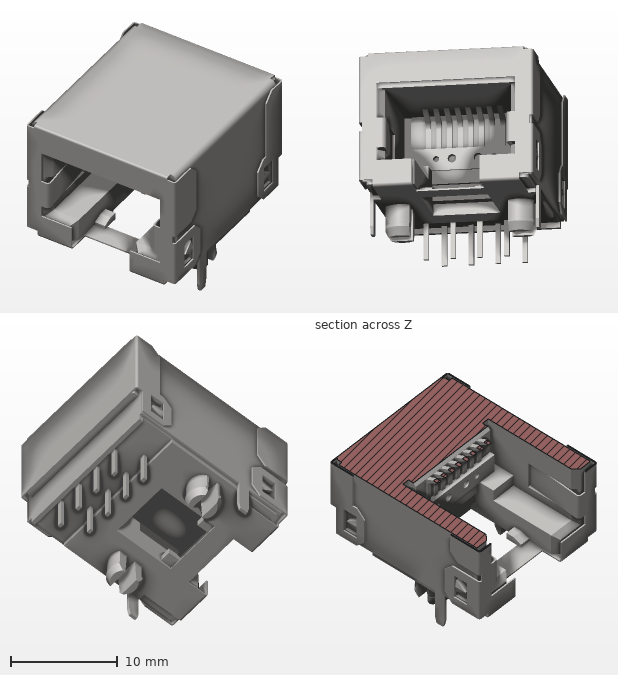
import cadquery as cq
import math


WIDTH = 16.6
LENGTH = 18.8
HEIGHT = 16.3
HALF_WIDTH = WIDTH / 2

SHEET = 0.15
BEND = 0.25
SHIELD_BOTTOM = 4.02
FLAP_TOP = 15.98
TOP_PLATE_HALF = 7.39
NOTCH_BOTTOM = 8.76
NOTCH_TOP = 9.6
NOTCH_X = 7.97
FLAP_CHAMFER = 0.95
BACK_PLATE_BOTTOM = 7.33

SIDE_X = 8.03
SIDE_SHEET = 0.3
ROLL_RADIUS = 0.64
BODY_FRONT = 0.62
BODY_BACK = 17.97
HOUSING_X = SIDE_X - SIDE_SHEET
HOUSING_CORNER = 0.41
FLOOR_Z = 3.33

FRONT_WINDOW = 1.6
BACK_WINDOW = 15.43
WINDOW_LENGTH = 1.62
FRONT_BARB_BASE = 3.12
BACK_BARB_BASE = BACK_WINDOW

OPENING_X = 6.6
OPENING_BOTTOM = 5.88
OPENING_TOP = 13.37
CAVITY_X = 6.0
CAVITY_BOTTOM = 6.11
CAVITY_TOP = 13.0
LEAD_IN = 0.62
LEDGE_Z = 7.4
FLOOR_BACK = 8.46
CAVITY_BACK = 11.65

SPRING_BOTTOM = 7.1
SPRING_TOP = 10.0
SPRING_LENGTH = 6.58

SLOT_X = 3.18

CONTACTS = 8
CONTACT_PITCH = 1.02
CONTACT_WIDTH = 0.47
PIN_PITCH = 1.28
PIN_WIDTH = 0.49
PIN_DEPTH = 0.34
PIN_ROWS = (14.6, 17.13)


def span(x0, x1, y0, y1, z0, z1):
    """Box given by its limits along X, Y and Z."""
    return cq.Workplane("XY").box(x1 - x0, y1 - y0, z1 - z0, centered=False).translate((x0, y0, z0))


def side_plate(points, x0, x1):
    """Side outline of (y, z) points, extruded from x0 to x1."""
    return cq.Workplane("YZ").polyline(points).close().extrude(x1 - x0).translate((x0, 0, 0))


def both_sides(shape):
    """The shape together with its mirror image across the YZ plane."""
    return shape.union(shape.mirror("YZ"))


def spread(count, pitch):
    """Positions of a centred row."""
    return [(i - (count - 1) / 2) * pitch for i in range(count)]


def make_body():
    shell = span(-SIDE_X, SIDE_X, BODY_FRONT, BODY_BACK, SHIELD_BOTTOM, HEIGHT)
    shell = shell.edges("|Y and >Z").fillet(ROLL_RADIUS)

    front_floor_z = 3.72
    rear_floor_z = 3.85
    front_floor_end = 4.65
    mid_floor_end = 13.93
    foot_start = 17.52
    underside = side_plate(
        [
            (BODY_FRONT, SHIELD_BOTTOM),
            (BODY_FRONT, front_floor_z),
            (front_floor_end, front_floor_z),
            (front_floor_end, FLOOR_Z),
            (mid_floor_end, FLOOR_Z),
            (mid_floor_end, rear_floor_z),
            (foot_start, rear_floor_z),
            (foot_start, FLOOR_Z),
            (BODY_BACK, FLOOR_Z),
            (BODY_BACK, SHIELD_BOTTOM),
        ],
        -HOUSING_X,
        HOUSING_X,
    )
    underside = underside.edges("|Z and <Y").fillet(HOUSING_CORNER)

    rear_half = 7.6
    rear_corner = 0.28
    rear = span(-rear_half, rear_half, BODY_BACK, LENGTH - SHEET, BACK_PLATE_BOTTOM, FLAP_TOP)
    rear = rear.edges("|Z and >Y").fillet(rear_corner)
    return shell.union(underside).union(rear)


def lead_in_cut(half_width, bottom, top, chamfered_bottom):
    """Cutter that narrows at 45 degrees from the front of the body to the given opening."""
    drop = LEAD_IN if chamfered_bottom else 0
    wide = half_width + LEAD_IN
    plan = [(-wide, BODY_FRONT), (wide, BODY_FRONT)]
    plan += [(half_width, BODY_FRONT + LEAD_IN), (-half_width, BODY_FRONT + LEAD_IN)]
    cut = cq.Workplane("XY", origin=(0, 0, bottom - drop)).polyline(plan).close()
    cut = cut.extrude(top - bottom + drop)
    if chamfered_bottom:
        side = [(BODY_FRONT, top), (BODY_FRONT, bottom - drop)]
        side += [(BODY_FRONT + LEAD_IN, bottom), (BODY_FRONT + LEAD_IN, top)]
        cut = cut.intersect(side_plate(side, -wide, wide))
    return cut


def cut_plug_cavity(body):
    body = body.cut(span(-CAVITY_X, CAVITY_X, BODY_FRONT, CAVITY_BACK, LEDGE_Z, CAVITY_TOP))
    body = body.cut(span(-CAVITY_X, CAVITY_X, BODY_FRONT, FLOOR_BACK, CAVITY_BOTTOM, LEDGE_Z))
    return body.cut(lead_in_cut(CAVITY_X, CAVITY_BOTTOM, CAVITY_TOP, True))


def cut_spring_pockets(body):
    """Side recesses of the cavity that take the grounding springs."""
    clearance = 0.05
    end = SPRING_LENGTH + clearance
    pocket = span(CAVITY_X, OPENING_X, BODY_FRONT, end, SPRING_BOTTOM - clearance, SPRING_TOP + clearance)
    return body.cut(both_sides(pocket))


def cut_latch_slot(body):
    top_back = 10.34
    middle_back = 10.72
    lower_back = 11.28
    lip_top = 4.59
    lip_bottom = 4.44
    outline = [
        (BODY_FRONT, 0),
        (BODY_FRONT, LEDGE_Z),
        (top_back, LEDGE_Z),
        (top_back, CAVITY_BOTTOM),
        (middle_back, CAVITY_BOTTOM),
        (middle_back, lip_top),
        (lower_back, lip_bottom),
        (lower_back, 0),
    ]
    body = body.cut(side_plate(outline, -SLOT_X, SLOT_X))
    return body.cut(lead_in_cut(SLOT_X, 0, CAVITY_BOTTOM, False))


def make_latch_bumps():
    inner_x = 2.05
    bottom = 3.67
    nose_z = 4.02
    top = 4.4
    nose_y = 4.0
    crest_y = 5.0
    back_y = 5.83
    outline = [(nose_y, bottom), (nose_y, nose_z), (crest_y, top), (back_y, top), (back_y, bottom)]
    return both_sides(side_plate(outline, inner_x, SLOT_X))


def make_insert():
    half = 5.25
    step_z = 9.51
    shoulder_z = 12.3
    lower_front = 10.15
    upper_front = 10.72
    slope_run = 0.65
    insert = side_plate(
        [
            (lower_front, LEDGE_Z),
            (lower_front, step_z),
            (upper_front, step_z),
            (upper_front, shoulder_z),
            (upper_front + slope_run, CAVITY_TOP),
            (CAVITY_BACK, CAVITY_TOP),
            (CAVITY_BACK, LEDGE_Z),
        ],
        -half,
        half,
    )

    hole_z = 8.52
    hole_depth = 0.56
    inner_hole_x = 1.25
    inner_hole_radius = 0.4
    outer_hole_x = 2.75
    outer_hole_radius = 0.28
    for x, radius in ((inner_hole_x, inner_hole_radius), (outer_hole_x, outer_hole_radius)):
        hole = cq.Workplane("XZ").pushPoints([(-x, hole_z), (x, hole_z)]).circle(radius)
        insert = insert.cut(hole.extrude(-hole_depth).translate((0, lower_front, 0)))

    knee_z = 11.88
    contact_front = upper_front - 0.19
    reach = 1.88
    knee_radius = 0.64
    thickness = 0.38
    outline = [
        (upper_front, step_z),
        (contact_front, step_z),
        (contact_front, knee_z),
        (contact_front - reach, CAVITY_TOP),
        (contact_front - reach + thickness, CAVITY_TOP),
        (upper_front, knee_z + thickness),
    ]
    for x in spread(CONTACTS, CONTACT_PITCH):
        contact = side_plate(outline, x - CONTACT_WIDTH / 2, x + CONTACT_WIDTH / 2)
        knee = cq.NearestToPointSelector((x, contact_front, knee_z))
        insert = insert.union(contact.edges(knee).fillet(knee_radius))
    return insert


def make_top_plate():
    """Top sheet, turned down at the front and back to meet the end plates."""
    top_bend = 0.2
    plate = span(-TOP_PLATE_HALF, TOP_PLATE_HALF, 0, LENGTH, FLAP_TOP - BEND, HEIGHT)
    plate = plate.edges("|X and >Z").fillet(top_bend)
    hollow = span(-TOP_PLATE_HALF, TOP_PLATE_HALF, SHEET, LENGTH - SHEET, 0, HEIGHT - SHEET)
    return plate.cut(hollow.edges("|X and >Z").fillet(top_bend - SHEET))


def make_channel():
    """Ring of sheet around the four sides with rounded corners."""
    ring = span(-HALF_WIDTH, HALF_WIDTH, 0, LENGTH, SHIELD_BOTTOM, FLAP_TOP)
    ring = ring.edges("|Z").fillet(BEND)
    inside = HALF_WIDTH - SHEET
    hollow = span(-inside, inside, SHEET, LENGTH - SHEET, SHIELD_BOTTOM, FLAP_TOP)
    return ring.cut(hollow.edges("|Z").fillet(BEND - SHEET))


def make_front_plate():
    upper_end = 3.75
    lower_end = 4.42
    upper_flap = [
        (0, FLAP_TOP),
        (upper_end - FLAP_CHAMFER, FLAP_TOP),
        (upper_end, FLAP_TOP - FLAP_CHAMFER),
        (upper_end, NOTCH_TOP + FLAP_CHAMFER),
        (upper_end - FLAP_CHAMFER, NOTCH_TOP),
        (0, NOTCH_TOP),
    ]
    lower_flap = [
        (0, NOTCH_BOTTOM),
        (lower_end - FLAP_CHAMFER, NOTCH_BOTTOM),
        (lower_end, NOTCH_BOTTOM - FLAP_CHAMFER),
        (lower_end, SHIELD_BOTTOM + FLAP_CHAMFER),
        (lower_end - FLAP_CHAMFER, SHIELD_BOTTOM),
        (0, SHIELD_BOTTOM),
    ]
    outline = side_plate(upper_flap, -HALF_WIDTH, HALF_WIDTH)
    outline = outline.union(side_plate(lower_flap, -HALF_WIDTH, HALF_WIDTH))
    plate = make_channel().intersect(outline)
    plate = plate.union(span(-NOTCH_X, NOTCH_X, 0, SHEET, SHIELD_BOTTOM, FLAP_TOP))

    fold_half = 6.97
    fold_end = 4.65
    fold_bend = 0.3
    fold = span(-fold_half, fold_half, 0, fold_end, FLOOR_Z, SHIELD_BOTTOM)
    fold = fold.edges("|X and <Y and <Z").fillet(fold_bend)
    above_fold = span(-fold_half, fold_half, SHEET, fold_end, FLOOR_Z + SHEET, SHIELD_BOTTOM)
    fold = fold.cut(above_fold.edges("|X and <Y and <Z").fillet(fold_bend - SHEET))
    plate = plate.union(fold)

    latch_notch_half = 3.23
    latch_notch_end = 2.4
    plate = plate.cut(span(-OPENING_X, OPENING_X, 0, SHEET, OPENING_BOTTOM, OPENING_TOP))
    return plate.cut(span(-latch_notch_half, latch_notch_half, 0, latch_notch_end, 0, OPENING_BOTTOM))


def make_grounding_springs():
    """Springs turned inward from both sides of the opening and leaning outward with depth."""
    inner_x = 5.72
    end_x = 6.25
    bend = 0.4
    inner_bend = bend - SHEET
    bend_x = inner_x + bend
    diagonal = math.sqrt(0.5)
    spring = (
        cq.Workplane("XY", origin=(0, 0, SPRING_BOTTOM))
        .moveTo(OPENING_X, 0)
        .lineTo(bend_x, 0)
        .threePointArc((bend_x - bend * diagonal, bend - bend * diagonal), (inner_x, bend))
        .lineTo(end_x, SPRING_LENGTH)
        .lineTo(end_x + SHEET, SPRING_LENGTH)
        .lineTo(inner_x + SHEET, bend)
        .threePointArc((bend_x - inner_bend * diagonal, bend - inner_bend * diagonal), (bend_x, SHEET))
        .lineTo(OPENING_X, SHEET)
        .close()
        .extrude(SPRING_TOP - SPRING_BOTTOM)
    )
    return both_sides(spring)


def make_back_plate():
    upper_edge = 15.9
    lower_edge = 14.45
    step_y = 18.01
    outline = [
        (LENGTH, FLAP_TOP),
        (upper_edge + FLAP_CHAMFER, FLAP_TOP),
        (upper_edge, FLAP_TOP - FLAP_CHAMFER),
        (upper_edge, NOTCH_BOTTOM),
        (lower_edge + FLAP_CHAMFER, NOTCH_BOTTOM),
        (lower_edge, NOTCH_BOTTOM - FLAP_CHAMFER),
        (lower_edge, SHIELD_BOTTOM + FLAP_CHAMFER),
        (lower_edge + FLAP_CHAMFER, SHIELD_BOTTOM),
        (step_y, SHIELD_BOTTOM),
        (step_y, BACK_PLATE_BOTTOM),
        (LENGTH, BACK_PLATE_BOTTOM),
    ]
    return make_channel().intersect(side_plate(outline, -HALF_WIDTH, HALF_WIDTH))


def cut_windows(jack):
    """Windows through the flaps and the side sheets, down to the housing."""
    bottom = 4.95
    top = 7.7
    for front in (FRONT_WINDOW, BACK_WINDOW):
        window = span(HOUSING_X, HALF_WIDTH, front, front + WINDOW_LENGTH, bottom, top)
        jack = jack.cut(both_sides(window))
    return jack


def make_barb(base_y, direction):
    """Triangular barb on the housing pointing along Y (direction 1 or -1), ridged on its outer end."""
    length = 1.28
    tip_y = base_y + direction * length
    middle_z = 6.34
    half_height = 0.77
    edge_x = 8.08
    ridge_x = 8.25
    low = middle_z - half_height
    high = middle_z + half_height
    triangle = side_plate([(tip_y, middle_z), (base_y, low), (base_y, high)], HOUSING_X, HALF_WIDTH)
    roof = [(HOUSING_X, low), (edge_x, low), (ridge_x, middle_z), (edge_x, high), (HOUSING_X, high)]
    ridged = cq.Workplane("XZ").polyline(roof).close().extrude(-LENGTH)
    return both_sides(triangle.intersect(ridged))


def make_shield_legs():
    back = 5.85
    front = 4.66
    taper = 0.19
    taper_z = 0.8
    outline = [
        (front, SHIELD_BOTTOM),
        (back, SHIELD_BOTTOM),
        (back, taper_z),
        (back - taper, 0),
        (front + taper, 0),
        (front, taper_z),
    ]
    return both_sides(side_plate(outline, HOUSING_X, SIDE_X))


def make_pegs():
    """Split snap-in pegs, each flattened on its inner and outer side."""
    center_x = 5.64
    center_y = 8.25
    outer_flat = 1.43
    inner_flat = 0.94
    shaft_radius = 1.64
    snap_radius = 1.71
    tip_radius = 1.35
    tip_z = 0.38
    snap_bottom = 1.18
    snap_top = 1.49
    gap_top = 0.49
    gap_bottom = 0.71
    profile = [
        (0, FLOOR_Z),
        (shaft_radius, FLOOR_Z),
        (shaft_radius, snap_top),
        (snap_radius, snap_top),
        (snap_radius, snap_bottom),
        (tip_radius, tip_z),
        (0, tip_z),
    ]
    peg = cq.Workplane("XZ").polyline(profile).close().revolve(360, (0, 0, 0), (0, 1, 0))
    peg = peg.intersect(span(-inner_flat, outer_flat, -snap_radius, snap_radius, 0, FLOOR_Z))
    gap = [(-gap_bottom, 0), (gap_bottom, 0), (gap_top, FLOOR_Z), (-gap_top, FLOOR_Z)]
    peg = peg.cut(side_plate(gap, -inner_flat, outer_flat))
    return both_sides(peg.translate((center_x, center_y, 0)))


def make_pins():
    """Two staggered rows of solder pins."""
    pins = cq.Workplane("XY")
    for i, x in enumerate(spread(CONTACTS, PIN_PITCH)):
        y = PIN_ROWS[i % len(PIN_ROWS)]
        left = x - PIN_WIDTH / 2
        near = y - PIN_DEPTH / 2
        pins = pins.union(span(left, left + PIN_WIDTH, near, near + PIN_DEPTH, 0, SHIELD_BOTTOM))
    return pins


body = cut_latch_slot(cut_spring_pockets(cut_plug_cavity(make_body())))
body = body.union(make_latch_bumps()).union(make_insert())

shield = make_front_plate().union(make_back_plate())
shield = shield.union(make_top_plate()).union(make_grounding_springs())

result = cut_windows(body.union(shield))
result = result.union(make_barb(FRONT_BARB_BASE, -1)).union(make_barb(BACK_BARB_BASE, 1))
result = result.union(make_shield_legs()).union(make_pegs()).union(make_pins())